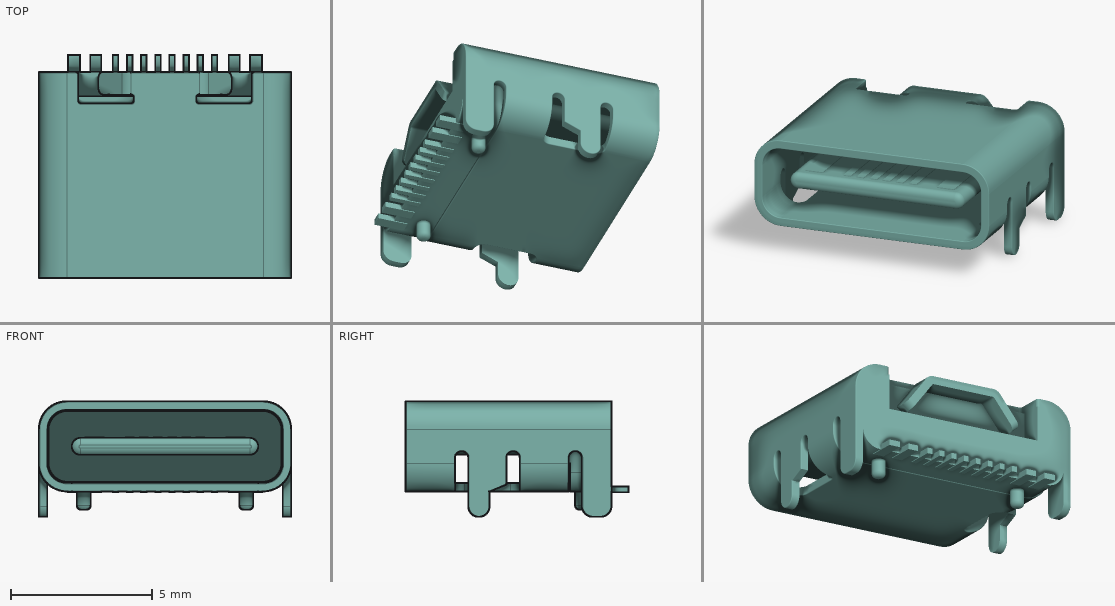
import cadquery as cq
import math


shell_width = 8.94
shell_height = 3.2
shell_length = 7.3
shell_radius = 1.0
sheet = 0.31
edge_break = 0.03
inner_width = shell_width - 2 * sheet
inner_radius = shell_radius - sheet

slot_width = 0.46
slot_radius = slot_width / 2
slot_top = 1.43
slot_shoulder = slot_top - slot_radius
leg_depth = 0.9
front_leg_start = 2.22
front_leg_width = 0.76
front_leg_root_width = 1.36
front_leg_taper_top = 0.25
rear_leg_width = 1.06
rear_leg_radius = 0.4
rear_leg_start = shell_length - rear_leg_width
front_leg_root_end = front_leg_start + front_leg_root_width
slot_centers = [
    front_leg_start - slot_radius,
    front_leg_root_end + slot_radius,
    rear_leg_start - slot_radius,
]
front_opening_start = front_leg_start - slot_width
front_opening_length = front_leg_root_width + 2 * slot_width
floor_end = rear_leg_start - slot_width
opening_half_gap = 3.3
opening_corner_radius = 0.33

notch_outer = 3.07
notch_start = 6.19
relief_inner = 1.11
relief_length = 0.31
notch_corner_radius = 0.1
tab_half_width = 1.22
wing_start = notch_start + relief_length
wing_angle = 52.0
wing_bend_radius = 0.4
wing_tip = 2.36
wing_tip_radius = 0.25

housing_front = 5.5
skirt_start = 5.83
housing_step = 6.44
housing_chamfer = 0.04
rear_block_top = 1.6
tongue_tip = 0.35
tongue_width = 6.6
tongue_thickness = 0.6
tongue_tip_fillet = 0.25
tongue_center_height = shell_height / 2

pad_rise = 0.03
pad_start = 0.79
signal_pad_width = 0.28
power_pad_width = 0.66
signal_pad_centers = [0.25, 0.75, 1.25]
power_pad_center = 2.5
tail_end = 7.9
tail_embed = 0.5
tail_thickness = 0.21
tail_bottom = -0.03
signal_tail_width = 0.2
signal_tail_centers = [0.25, 0.75, 1.25, 1.75]
inner_power_tail_center = 2.45
inner_power_tail_width = 0.4
outer_power_tail_center = 3.22
outer_power_tail_width = 0.43

peg_diameter = 0.5
peg_center_x = 2.875
peg_center_y = 6.25
peg_depth = 0.65
peg_fillet = 0.17


def block(x_start, x_end, y_start, y_end, z_start, z_end):
    """Box given by its limits along each axis."""
    size = (x_end - x_start, y_end - y_start, z_end - z_start)
    return cq.Workplane("XY").box(*size, centered=False).translate((x_start, y_start, z_start))


def both_sides(right_half):
    """Add the mirror image across the YZ plane."""
    return right_half.union(right_half.mirror("YZ"))


def rounded_bar(width, bottom, top, radius, y_start, y_end):
    """Bar along Y with rounded long edges."""
    bar = block(-width / 2, width / 2, y_start, y_end, bottom, top)
    return bar.edges("|Y").fillet(radius)


def make_tube():
    """Plain shell tube."""
    outer = rounded_bar(shell_width, 0, shell_height, shell_radius, 0, shell_length)
    inner = rounded_bar(inner_width, sheet, shell_height - sheet, inner_radius, 0, shell_length)
    return outer.cut(inner)


def make_floor_openings():
    """Space cleared below the slot shoulders where the legs are left straight."""
    front = block(
        opening_half_gap, shell_width, front_opening_start, front_opening_start + front_opening_length,
        -leg_depth, slot_shoulder,
    )
    front = front.edges("|Z and <X").fillet(opening_corner_radius)
    rear = block(
        -shell_width, shell_width, floor_end, shell_length + sheet, -leg_depth, slot_shoulder,
    )
    return both_sides(front).union(rear)


def make_slot_tops():
    """Round upper ends of the side slots."""
    return (
        cq.Workplane("YZ")
        .pushPoints([(y, slot_shoulder) for y in slot_centers])
        .circle(slot_radius)
        .extrude(shell_width, both=True)
    )


def make_legs():
    """Front and rear legs of both side walls."""
    front_leg_end = front_leg_start + front_leg_width
    front_radius = front_leg_width / 2
    sides = cq.Workplane("YZ").workplane(offset=shell_width / 2 - sheet)
    front = (
        sides.moveTo(front_leg_start, slot_top)
        .lineTo(front_leg_start, front_radius - leg_depth)
        .threePointArc(
            (front_leg_start + front_radius, -leg_depth), (front_leg_end, front_radius - leg_depth)
        )
        .lineTo(front_leg_end, 0)
        .lineTo(front_leg_root_end, front_leg_taper_top)
        .lineTo(front_leg_root_end, slot_top)
        .close()
        .extrude(sheet)
    )
    rear = block(
        shell_width / 2 - sheet, shell_width / 2, rear_leg_start, shell_length, -leg_depth, slot_top,
    )
    rear = rear.edges("|X and <Z").fillet(rear_leg_radius)
    return both_sides(front.union(rear))


def make_roof_notches():
    """Rear notches beside the roof tab, with a relief slot at the foot of each wing."""
    roof_bottom = shell_height - 2 * sheet
    notch = block(
        tab_half_width, notch_outer, notch_start + relief_length / 2, shell_length + sheet,
        roof_bottom, shell_height,
    )
    relief = block(
        relief_inner, notch_outer, notch_start, wing_start, roof_bottom, shell_height,
    )
    relief = relief.edges("|Z").fillet(notch_corner_radius)
    return both_sides(notch.union(relief))


def make_wings():
    """Sheet wings bent down from the sides of the roof tab."""
    angle = math.radians(wing_angle)
    bend_center_z = shell_height - wing_bend_radius
    inner_bend_radius = wing_bend_radius - sheet

    def bend_point(radius, turn):
        return (tab_half_width + radius * math.sin(turn), bend_center_z + radius * math.cos(turn))

    outer_end = bend_point(wing_bend_radius, angle)
    inner_end = bend_point(inner_bend_radius, angle)
    flat_run = wing_tip - outer_end[0]
    flat_drop = flat_run * math.tan(angle)
    profile = (
        cq.Workplane("XZ", origin=(0, shell_length, 0))
        .moveTo(*bend_point(wing_bend_radius, 0))
        .threePointArc(bend_point(wing_bend_radius, angle / 2), outer_end)
        .line(flat_run, -flat_drop)
        .lineTo(inner_end[0] + flat_run, inner_end[1] - flat_drop)
        .lineTo(*inner_end)
        .threePointArc(bend_point(inner_bend_radius, angle / 2), bend_point(inner_bend_radius, 0))
        .close()
    )
    wing = profile.extrude(shell_length - wing_start)
    sheet_normal = cq.Vector(math.sin(angle), 0, math.cos(angle))
    tip_edges = wing.edges(cq.selectors.ParallelDirSelector(sheet_normal))
    tip_edges = tip_edges.edges(">X")
    return both_sides(tip_edges.fillet(wing_tip_radius))


def box_around(center, reach):
    """Selector for what is centered within a distance of a point along each axis."""
    x, y, z = center
    low = (x - reach, y - reach, z - reach)
    high = (x + reach, y + reach, z + reach)
    return cq.selectors.BoxSelector(low, high)


def soften_shell(shell):
    """Round the roof corners at the notches and break the outer edges of the sheet."""
    mid_sheet = sheet / 2
    for x in (-notch_outer, notch_outer):
        corner = (x, shell_length, shell_height - mid_sheet)
        shell = shell.edges(box_around(corner, mid_sheet)).edges("|Z").fillet(notch_corner_radius)

    roof = shell.faces(">Z")
    relief_ends = cq.selectors.BoxSelector(
        (-notch_outer, notch_start - edge_break, 0), (notch_outer, wing_start - edge_break, shell_width)
    )
    sharp_edges = shell.faces("<Y").edges().vals()
    sharp_edges += shell.faces("<X or >X").edges("not |Y").vals()
    sharp_edges += roof.edges(">Y").vals()
    sharp_edges += roof.edges(relief_ends).vals()
    return shell.newObject(sharp_edges).fillet(edge_break)


def make_shell():
    """Complete bent sheet-metal shell."""
    tube = make_tube().cut(make_floor_openings()).union(make_legs())
    shell = tube.cut(make_slot_tops()).cut(make_roof_notches())
    return soften_shell(shell).union(make_wings())


def make_housing():
    """Plastic body with a skirt down to the board, hollowed between its rear cheeks."""
    body = rounded_bar(inner_width, sheet, shell_height - sheet, inner_radius, housing_front, skirt_start)
    body = body.faces("<Y").edges().chamfer(housing_chamfer)
    rear = rounded_bar(inner_width, 0, shell_height - sheet, inner_radius, skirt_start, shell_length)
    hollow = block(
        -notch_outer, notch_outer, housing_step, shell_length, rear_block_top, shell_height,
    )
    return body.union(rear).cut(hollow)


def make_tongue():
    """Tongue with round sides and a rounded tip, carrying raised contact pads."""
    tongue = (
        cq.Workplane("XZ", origin=(0, tongue_tip, tongue_center_height))
        .slot2D(tongue_width, tongue_thickness)
        .extrude(tongue_tip - housing_step)
        .faces("<Y")
        .edges()
        .fillet(tongue_tip_fillet)
    )
    pads = [(x, signal_pad_width) for x in signal_pad_centers]
    pads.append((power_pad_center, power_pad_width))
    top = tongue_center_height + tongue_thickness / 2
    for center, width in pads:
        pad = block(
            center - width / 2, center + width / 2, pad_start, housing_step,
            tongue_center_height, top + pad_rise,
        )
        tongue = tongue.union(both_sides(pad))
    return tongue


def make_tails():
    """Row of solder tails behind the housing."""
    tails = [(x, signal_tail_width) for x in signal_tail_centers]
    tails.append((inner_power_tail_center, inner_power_tail_width))
    tails.append((outer_power_tail_center, outer_power_tail_width))
    row = cq.Workplane("XY")
    for center, width in tails:
        tail = block(
            center - width / 2, center + width / 2, shell_length - tail_embed, tail_end,
            tail_bottom, tail_bottom + tail_thickness,
        )
        row = row.add(both_sides(tail))
    return row.combine()


def make_pegs():
    """Locating pegs below the housing."""
    peg = (
        cq.Workplane("XY", origin=(peg_center_x, peg_center_y, -peg_depth))
        .circle(peg_diameter / 2)
        .extrude(peg_depth + sheet)
        .faces("<Z")
        .edges()
        .fillet(peg_fillet)
    )
    return both_sides(peg)


result = make_shell().union(make_housing()).union(make_tongue()).union(make_tails()).union(make_pegs())